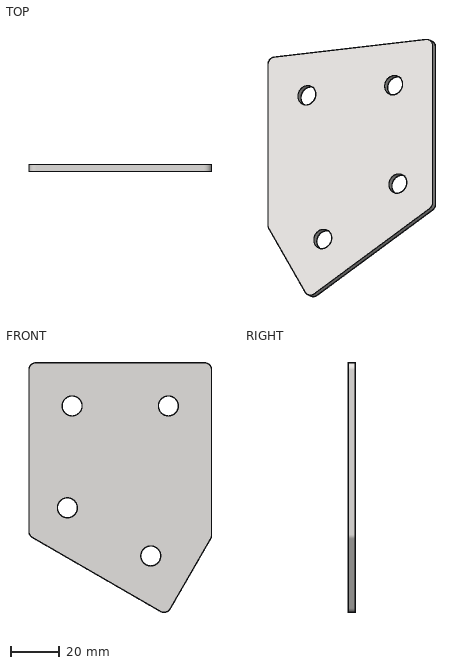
import cadquery as cq
import math

plate_width = 76.0
plate_thickness = 3.0
plate_height = 103.81
slant_angle = math.radians(30)
tip_offset = 19.27
corner_radius = 3.0
hole_diameter = 8.2
hole_pitch = 40.0
hole_margin = (plate_width - hole_pitch) / 2

half_width = plate_width / 2
slant_cos = math.cos(slant_angle)
slant_sin = math.sin(slant_angle)
tip_rounding_loss = corner_radius * (slant_cos + slant_sin - 1)
tip_z = -plate_height - tip_rounding_loss
left_corner_z = tip_z + (half_width + tip_offset) * math.tan(slant_angle)
right_corner_z = tip_z + (half_width - tip_offset) / math.tan(slant_angle)


def from_tip(along_edge, inward):
    """Point a given distance back along the long slanted edge and inward from it."""
    x = tip_offset - along_edge * slant_cos + inward * slant_sin
    z = tip_z + along_edge * slant_sin + inward * slant_cos
    return x, z


def make_plate():
    """Five-sided plate with rounded corners, centred on Y = 0."""
    outline = [
        (-half_width, 0),
        (half_width, 0),
        (half_width, right_corner_z),
        (tip_offset, tip_z),
        (-half_width, left_corner_z),
    ]
    return (
        cq.Workplane("XZ", origin=(0, plate_thickness / 2, 0))
        .polyline(outline)
        .close()
        .extrude(plate_thickness)
        .edges("|Y")
        .fillet(corner_radius)
    )


def make_hole_cutters():
    """Two pairs of through holes: one along the top edge, one along the long slanted edge."""
    centres = [
        (-hole_pitch / 2, -hole_margin),
        (hole_pitch / 2, -hole_margin),
        from_tip(hole_margin, hole_margin),
        from_tip(hole_margin + hole_pitch, hole_margin),
    ]
    return (
        cq.Workplane("XZ", origin=(0, plate_thickness / 2, 0))
        .pushPoints(centres)
        .circle(hole_diameter / 2)
        .extrude(plate_thickness)
    )


result = make_plate().cut(make_hole_cutters())